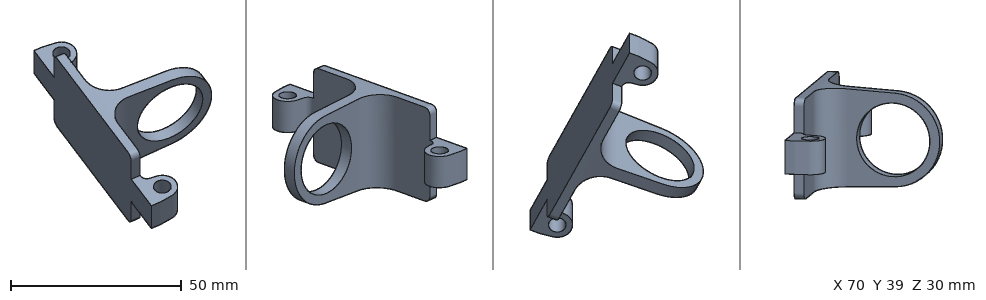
import cadquery as cq
import math

overall_length = 70.0
plate_length = 46.0
plate_height = 30.0
plate_thickness = 3.0
plate_corner_radius = 2.0

web_thickness = 4.0
web_fillet_radius = 8.0
ring_center_y = 25.0
ring_radius = 14.0
ring_hole_diameter = 22.0

ear_height = 10.0
ear_radius = 4.5
ear_hole_diameter = 5.1
ear_hole_from_end = 5.0
ear_hole_y = 6.5
ear_fillet_radius = 2.0


def tangent_angle(run, rise, radius):
    """Direction, from a circle's center, of the tangent point reached from (-run, rise)."""
    return math.atan2(rise, -run) - math.acos(radius / math.hypot(run, rise))


def make_plate():
    return (
        cq.Workplane("XY")
        .box(plate_length, plate_thickness, plate_height, centered=(True, False, True))
        .edges("|Y")
        .fillet(plate_corner_radius)
    )


def make_web():
    half_web = web_thickness / 2
    half_foot = half_web + web_fillet_radius
    flare_top = plate_thickness + web_fillet_radius
    arc_offset = web_fillet_radius * (1 - math.sqrt(0.5))
    arc_mid_x = half_web + arc_offset
    arc_mid_y = plate_thickness + arc_offset
    ring_top = ring_center_y + ring_radius
    section = (
        cq.Workplane("XY", origin=(0, 0, -plate_height / 2))
        .moveTo(-half_foot, plate_thickness)
        .threePointArc((-arc_mid_x, arc_mid_y), (-half_web, flare_top))
        .lineTo(-half_web, ring_top)
        .lineTo(half_web, ring_top)
        .lineTo(half_web, flare_top)
        .threePointArc((arc_mid_x, arc_mid_y), (half_foot, plate_thickness))
        .close()
        .extrude(plate_height)
    )

    half_height = plate_height / 2
    angle = tangent_angle(ring_center_y - plate_thickness, half_height, ring_radius)
    tangent_y = ring_center_y + ring_radius * math.cos(angle)
    tangent_z = ring_radius * math.sin(angle)
    outline = (
        cq.Workplane("YZ")
        .moveTo(plate_thickness, -half_height)
        .lineTo(tangent_y, -tangent_z)
        .threePointArc((ring_top, 0), (tangent_y, tangent_z))
        .lineTo(plate_thickness, half_height)
        .close()
        .extrude(half_foot, both=True)
    )
    hole = (
        cq.Workplane("YZ")
        .center(ring_center_y, 0)
        .circle(ring_hole_diameter / 2)
        .extrude(half_foot, both=True)
    )
    return section.intersect(outline).cut(hole)


def make_left_ear():
    end_x = -overall_length / 2
    hole_x = end_x + ear_hole_from_end
    root_x = -plate_length / 2 + plate_corner_radius

    flank_rise = plate_thickness - ear_hole_y
    angle = tangent_angle(ear_hole_from_end, flank_rise, ear_radius)
    tangent_dx = -ear_radius * math.cos(angle)
    tangent_y = ear_hole_y + ear_radius * math.sin(angle)
    foot_x = hole_x + ear_hole_from_end

    ear = (
        cq.Workplane("XY", origin=(0, 0, -ear_height / 2))
        .moveTo(end_x, 0)
        .lineTo(end_x, plate_thickness)
        .lineTo(hole_x - tangent_dx, tangent_y)
        .threePointArc((hole_x, ear_hole_y + ear_radius), (hole_x + tangent_dx, tangent_y))
        .lineTo(foot_x, plate_thickness)
        .lineTo(root_x, plate_thickness)
        .lineTo(root_x, 0)
        .close()
        .extrude(ear_height)
    )
    for bend_x in (end_x, foot_x):
        bend = cq.NearestToPointSelector((bend_x, plate_thickness, 0))
        ear = ear.edges(bend).fillet(ear_fillet_radius)
    hole = (
        cq.Workplane("XY")
        .center(hole_x, ear_hole_y)
        .circle(ear_hole_diameter / 2)
        .extrude(ear_height, both=True)
    )
    return ear.cut(hole)


left_ear = make_left_ear()
right_ear = left_ear.mirror("YZ")
result = make_plate().union(make_web()).union(left_ear).union(right_ear)